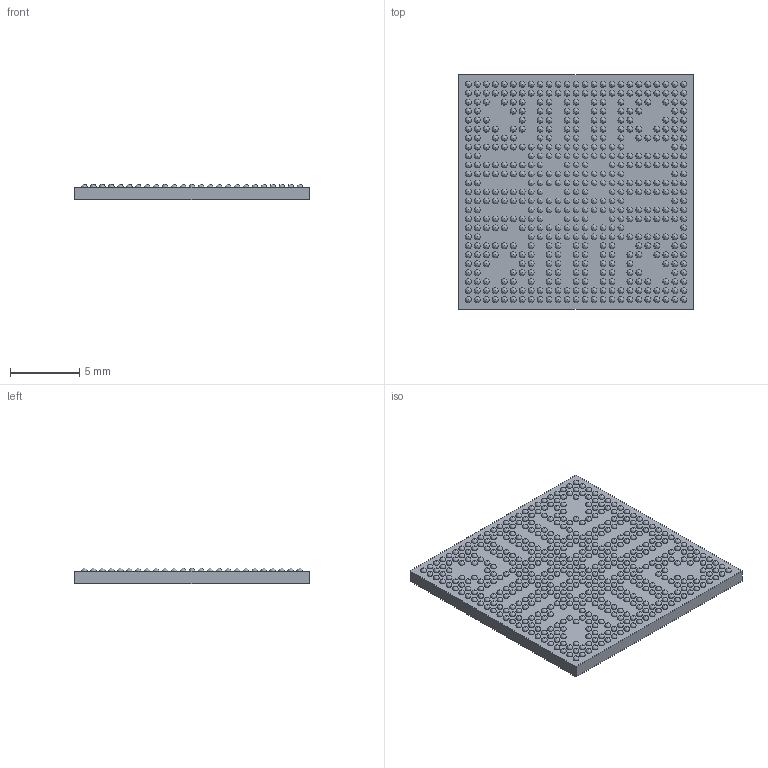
import cadquery as cq


body_side = 17.0
total_height = 1.12
ball_pitch = 0.65
ball_diameter = 0.42

ball_radius = ball_diameter / 2
body_height = total_height - ball_radius

ball_map = [
    "#########################",
    "#########################",
    "###.###.##.##.##.#.##.###",
    "##...##.##.##.##.###...##",
    "###...#.##.##.##.##...###",
    "####.##.##.##.##.###.####",
    "##.###..##.##.##.#.######",
    "##################.....##",
    "##.....##################",
    "#########..###..#########",
    "##################.....##",
    "##.....##################",
    "#########..###..#########",
    "##################.....##",
    "##.....##################",
    "#########..###..#########",
    "#####.############......#",
    "##.....##################",
    "######.#.##.##.##..###.##",
    "####.###.##.##.##.##.####",
    "###...##.##.##.##.#...###",
    "##...###.##.##.##.##...##",
    "###.##.#.##.##.##.###.###",
    "#########################",
    "#########################",
]


def make_body():
    """Flat square package body standing on Z = 0."""
    return cq.Workplane("XY").box(body_side, body_side, body_height, centered=(True, True, False))


def ball_sites():
    """Centres of all occupied sites, on a square grid centred on the body."""
    middle_row = (len(ball_map) - 1) / 2
    middle_column = (len(ball_map[0]) - 1) / 2
    sites = []
    for row, row_sites in enumerate(ball_map):
        for column, site in enumerate(row_sites):
            if site == "#":
                x = (column - middle_column) * ball_pitch
                y = (middle_row - row) * ball_pitch
                sites.append((x, y))
    return sites


def make_ball():
    """Ball over the origin of X and Y, sunk to its equator in the body's top face."""
    return cq.Workplane("XY", origin=(0, 0, body_height)).sphere(ball_radius).val()


def add_balls(body):
    """Join one ball to the body at every occupied site."""
    ball = make_ball()
    balls = [ball.translate(cq.Vector(x, y, 0)) for x, y in ball_sites()]
    return cq.Workplane(body.val().fuse(cq.Compound.makeCompound(balls)))


result = add_balls(make_body())